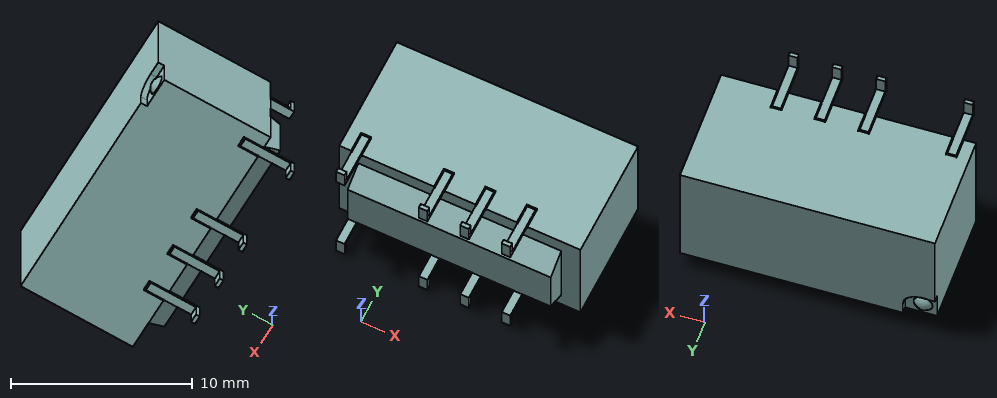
import cadquery as cq

body_length = 14.8
body_depth = 7.2
body_height = 7.3

bar_length = 12.45
bar_projection = 1.33
bar_base_height = 5.1
bar_tip_height = 3.4

lead_pitch = 2.54
lead_positions = [pitches * lead_pitch for pitches in (-2.5, -0.5, 0.5, 1.5)]
lead_width = 0.53
lead_thickness = 0.25
lead_projection = 2.0
lead_embedment = 1.15
lead_span = 9.2

groove_clearance = 0.05
groove_end_clearance = 0.1
groove_depth = 0.15

recess_size = 1.86
recess_depth = 0.39
recess_radius = 1.04
dome_radius = 0.55
dome_height = 0.3


def make_body():
    block = cq.Workplane("XY").box(body_length, body_depth, body_height)
    return block.translate((0, body_depth / 2, 0))


def make_bar():
    half_base = bar_base_height / 2
    half_tip = bar_tip_height / 2
    profile = [
        (0, -half_base),
        (-bar_projection, -half_tip),
        (-bar_projection, half_tip),
        (0, half_base),
    ]
    return cq.Workplane("YZ").polyline(profile).close().extrude(bar_length / 2, both=True)


def make_top_groove(x):
    width = lead_width + 2 * groove_clearance
    length = lead_embedment + groove_end_clearance
    groove = cq.Workplane("XY").box(width, length, groove_depth)
    return groove.translate((x, length / 2, (body_height - groove_depth) / 2))


def make_top_lead(x):
    outer_z = body_height / 2
    inner_z = outer_z - lead_thickness
    tip_z = lead_span / 2
    profile = [
        (lead_embedment, outer_z),
        (lead_embedment, inner_z),
        (-lead_projection, inner_z),
        (-lead_projection, tip_z),
        (-lead_projection + lead_thickness, tip_z),
        (-lead_projection + lead_thickness, outer_z),
    ]
    lead = cq.Workplane("YZ").polyline(profile).close().extrude(lead_width / 2, both=True)
    return lead.translate((x, 0, 0))


def make_recess():
    block = cq.Workplane("XY").box(recess_size, recess_depth, recess_size, centered=False)
    block = block.edges(">X and >Z").fillet(recess_radius)
    return block.translate((-body_length / 2, body_depth - recess_depth, -body_height / 2))


def make_dome():
    """Spherical cap, centred on the axis of the rounded recess corner."""
    sphere_radius = (dome_radius**2 + dome_height**2) / (2 * dome_height)
    inset = recess_size - recess_radius
    floor_y = body_depth - recess_depth
    center = (
        -body_length / 2 + inset,
        floor_y + dome_height - sphere_radius,
        -body_height / 2 + inset,
    )
    return cq.Workplane("XY").sphere(sphere_radius).translate(center)


result = make_body().cut(make_recess()).union(make_dome()).union(make_bar())

for lead_x in lead_positions:
    groove = make_top_groove(lead_x)
    result = result.cut(groove).cut(groove.mirror("XY"))

for lead_x in lead_positions:
    lead = make_top_lead(lead_x)
    result = result.union(lead).union(lead.mirror("XY"))